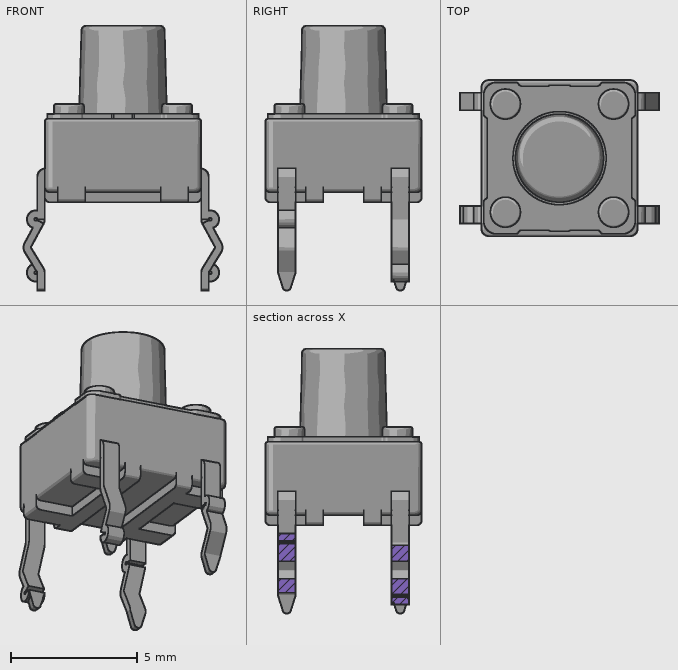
import cadquery as cq
import math


case_size = 6.2
case_bottom = 3.9
case_top = 6.8
case_corner_radius = 0.3
case_top_round = 0.1
bottom_round = 0.2
half_case = case_size / 2

foot_bottom = 3.5
foot_inner = 1.5
foot_outer = 2.59
bar_inner = 0.8
bar_outer = 1.49
foot_top = case_bottom + 2 * bottom_round

plate_size = 6.01
plate_top = 7.0
plate_corner_radius = 0.5
button_hole_diameter = 3.7
notch_depth = 0.15
notch_mouth_half = 1.74
notch_floor_half = 1.5
bump_height = 0.037
bump_base_half = 0.44
bump_top_half = 0.37
plate_thickness = plate_top - case_top

stud_diameter = 1.2
stud_top = 7.4
stud_offset = 2.14
stud_round = 0.1

button_top = 10.5
button_top_diameter = 3.3
button_base_diameter = 3.5
button_round = 0.2

lead_half_width = 7.9 / 2
lead_thickness = 0.3
lead_breadth = 0.7
lead_offset = 2.25
bend_inner = 0.05
bend_outer = bend_inner + lead_thickness
lead_inner_x = half_case
lead_outer_x = lead_inner_x + lead_thickness
shoulder_z = 4.49
upper_bend_z = 2.82
elbow_z = 1.71
lower_bend_z = 0.71
tip_flat_width = 0.25
tip_round = 0.16

bend_x = lead_outer_x + bend_inner
elbow_x = lead_half_width - bend_outer


def make_case():
    return (
        cq.Workplane("XY", origin=(0, 0, case_bottom))
        .rect(case_size, case_size)
        .extrude(case_top - case_bottom)
        .edges("|Z").fillet(case_corner_radius)
        .faces(">Z").edges().fillet(case_top_round)
        .faces("<Z").edges().fillet(bottom_round)
    )


def box_between(x_min, x_max, y_min, y_max):
    """Box from the underside of the feet up into the case."""
    return (
        cq.Workplane("XY", origin=(0, 0, foot_bottom))
        .center((x_min + x_max) / 2, (y_min + y_max) / 2)
        .rect(x_max - x_min, y_max - y_min)
        .extrude(foot_top - foot_bottom)
    )


def make_feet():
    bar = box_between(-half_case, half_case, bar_inner, bar_outer)
    feet = bar.faces("<Z").edges("|Y").fillet(bottom_round)
    for side in (-1, 1):
        middle = side * (foot_inner + foot_outer) / 2
        half_width = (foot_outer - foot_inner) / 2
        foot = box_between(middle - half_width, middle + half_width, bar_inner, half_case)
        feet = feet.union(foot.faces("<Z").edges(">Y").fillet(bottom_round))
    return feet.union(feet.mirror("XZ"))


def make_notch():
    """Shallow S-ended recess in the +Y edge of the cover plate."""
    edge = plate_size / 2
    floor = edge - notch_depth
    bend_half = (notch_mouth_half + notch_floor_half) / 2
    bend_y = edge - notch_depth / 2
    beyond = edge + notch_depth
    return (
        cq.Workplane("XY", origin=(0, 0, case_top))
        .moveTo(-notch_mouth_half - notch_depth, edge)
        .lineTo(-notch_mouth_half, edge)
        .tangentArcPoint((-bend_half, bend_y), relative=False)
        .tangentArcPoint((-notch_floor_half, floor), relative=False)
        .lineTo(notch_floor_half, floor)
        .tangentArcPoint((bend_half, bend_y), relative=False)
        .tangentArcPoint((notch_mouth_half, edge), relative=False)
        .lineTo(notch_mouth_half + notch_depth, edge)
        .lineTo(notch_mouth_half, beyond)
        .lineTo(-notch_mouth_half, beyond)
        .close()
        .extrude(plate_thickness)
    )


def make_notch_bump():
    """Low tab standing on the floor of a notch in the +Y edge."""
    floor = plate_size / 2 - notch_depth
    return (
        cq.Workplane("XY", origin=(0, 0, case_top))
        .moveTo(-bump_base_half, floor - notch_depth)
        .lineTo(-bump_base_half, floor)
        .lineTo(-bump_top_half, floor + bump_height)
        .lineTo(bump_top_half, floor + bump_height)
        .lineTo(bump_base_half, floor)
        .lineTo(bump_base_half, floor - notch_depth)
        .close()
        .extrude(plate_thickness)
    )


def make_plate():
    plate = (
        cq.Workplane("XY", origin=(0, 0, case_top))
        .rect(plate_size, plate_size)
        .extrude(plate_thickness)
        .edges("|Z").fillet(plate_corner_radius)
        .faces(">Z").workplane().hole(button_hole_diameter)
    )
    notch = make_notch()
    for angle in (0, 90, 180, 270):
        plate = plate.cut(notch.rotate((0, 0, 0), (0, 0, 1), angle))
    bump = make_notch_bump()
    return plate.union(bump).union(bump.mirror("XZ"))


def make_studs():
    return (
        cq.Workplane("XY", origin=(0, 0, case_top))
        .rect(2 * stud_offset, 2 * stud_offset, forConstruction=True)
        .vertices()
        .circle(stud_diameter / 2)
        .extrude(stud_top - case_top)
        .faces(">Z").edges().fillet(stud_round)
    )


def make_button():
    return (
        cq.Workplane("XY", origin=(0, 0, case_top))
        .circle(button_base_diameter / 2)
        .workplane(offset=button_top - case_top)
        .circle(button_top_diameter / 2)
        .loft()
        .faces(">Z").edges().fillet(button_round)
    )


def polar(center, radius, angle):
    """Point at an angle in degrees, measured from +X toward +Z."""
    turn = math.radians(angle)
    return (center[0] + radius * math.cos(turn), center[1] + radius * math.sin(turn))


def lead_plane():
    return cq.Workplane("XZ", origin=(0, lead_breadth / 2, 0))


def bend(center, start, end):
    """Part of a ring as thick as the lead, swept from one angle to the other."""
    middle = (start + end) / 2
    return (
        lead_plane()
        .moveTo(*polar(center, bend_inner, start))
        .lineTo(*polar(center, bend_outer, start))
        .threePointArc(polar(center, bend_outer, middle), polar(center, bend_outer, end))
        .lineTo(*polar(center, bend_inner, end))
        .threePointArc(polar(center, bend_inner, middle), polar(center, bend_inner, start))
        .close()
        .extrude(lead_breadth)
    )


def straight(center_a, angle_a, center_b, angle_b):
    """Straight run that joins the end faces of two bends."""
    corners = [
        polar(center_a, bend_inner, angle_a),
        polar(center_a, bend_outer, angle_a),
        polar(center_b, bend_inner, angle_b),
        polar(center_b, bend_outer, angle_b),
    ]
    return lead_plane().polyline(corners).close().extrude(lead_breadth)


def slope_from_vertical(drop):
    """Tilt of the straight run between the elbow and a bend this far above or below it."""
    offset = elbow_x - bend_x
    spacing = math.hypot(offset, drop)
    return math.degrees(math.atan2(offset, drop) + math.asin((bend_inner + bend_outer) / spacing))


def make_tip():
    tip = (
        cq.Workplane("YZ", origin=(lead_inner_x, 0, 0))
        .moveTo(-lead_breadth / 2, lower_bend_z)
        .lineTo(-tip_flat_width / 2, 0)
        .lineTo(tip_flat_width / 2, 0)
        .lineTo(lead_breadth / 2, lower_bend_z)
        .close()
        .extrude(lead_thickness)
    )
    return tip.faces("<Z").edges("|X").fillet(tip_round)


def make_lead(upper_loop, lower_loop):
    """Lead on the +X side; a looped bend turns the long way round instead of the short way."""
    shoulder = (lead_outer_x - bend_outer, shoulder_z)
    upper = (bend_x, upper_bend_z)
    elbow = (elbow_x, elbow_z)
    lower = (bend_x, lower_bend_z)
    upper_slope = slope_from_vertical(upper_bend_z - elbow_z)
    lower_slope = slope_from_vertical(elbow_z - lower_bend_z)
    upper_end = 180 + upper_slope - (360 if upper_loop else 0)
    lower_end = 180 - lower_slope + (360 if lower_loop else 0)

    upright = lead_plane().moveTo(lead_inner_x, upper_bend_z).lineTo(lead_outer_x, upper_bend_z)
    upright = upright.lineTo(lead_outer_x, shoulder_z).lineTo(lead_inner_x, shoulder_z).close()
    return (
        upright.extrude(lead_breadth)
        .union(bend(shoulder, 0, 90))
        .union(bend(upper, 180, upper_end))
        .union(straight(upper, upper_end, elbow, upper_slope))
        .union(bend(elbow, -lower_slope, upper_slope))
        .union(straight(elbow, -lower_slope, lower, lower_end))
        .union(bend(lower, 180, lower_end))
        .union(make_tip())
    )


def make_leads():
    front = make_lead(upper_loop=True, lower_loop=False).translate((0, -lead_offset, 0))
    back = make_lead(upper_loop=False, lower_loop=True).translate((0, lead_offset, 0))
    pair = front.union(back)
    return pair.union(pair.mirror("YZ"))


result = make_case()
for piece in (make_feet(), make_plate(), make_studs(), make_button(), make_leads()):
    result = result.union(piece)